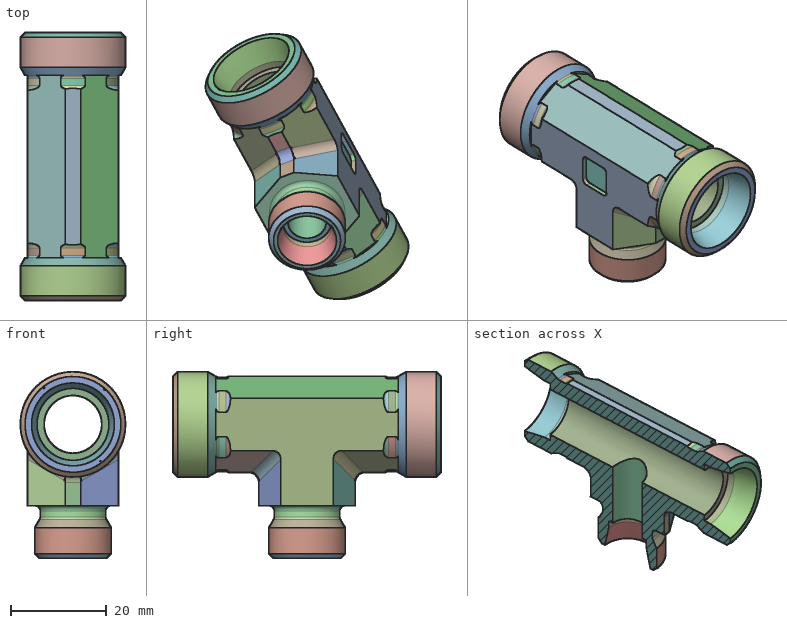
import cadquery as cq
import math

RUN_HALF_LENGTH = 28.0
BRANCH_LENGTH = 28.0

HEX_FLATS = 19.05
HEX_HALF_CUT = 10.1
BODY_CORNER_RADIUS = 2.0
BRANCH_BODY_END = 17.0
RUN_FLATS_END = 19.05

END_CHAMFER = 1.0
GROOVE_RADIUS = 1.0
RUNOUT_ANGLE = math.radians(30)

RUN_THREAD_DIA = 22.0
RUN_NECK_DIA = 19.7
RUN_THREAD_LENGTH = 7.3
RUN_STUD_LENGTH = 12.05
RUN_BORE_DIA = 12.0
RUN_TUBE_DIA = 15.0
RUN_MOUTH_DIA = 17.3

BRANCH_THREAD_DIA = 16.0
BRANCH_NECK_DIA = 13.7
BRANCH_THREAD_LENGTH = 6.45
BRANCH_STUD_LENGTH = BRANCH_LENGTH - BRANCH_BODY_END
BRANCH_BORE_DIA = 8.0
BRANCH_TUBE_DIA = 10.0
BRANCH_MOUTH_DIA = 12.3

SOCKET_DEPTH = 7.0
SOCKET_HALF_ANGLE = math.radians(12)

RECESS_SIZE = 7.05
RECESS_CORNER_RADIUS = 1.0
RECESS_DEPTH = 1.0
RECESS_CENTER_Z = -1.0

EDGE_TOLERANCE = 0.0005


def stud(thread_dia, neck_dia, thread_length, length):
    """Threaded end with its face at Z = 0, running up to the body shoulder at Z = length."""
    thread_r = thread_dia / 2
    neck_r = neck_dia / 2
    blend_r = neck_r + GROOVE_RADIUS * (1 - math.cos(RUNOUT_ANGLE))
    blend_start = thread_length + (thread_r - blend_r) / math.tan(RUNOUT_ANGLE)
    neck_start = blend_start + GROOVE_RADIUS * math.sin(RUNOUT_ANGLE)
    half_angle = RUNOUT_ANGLE / 2
    blend_middle = (
        neck_r + GROOVE_RADIUS * (1 - math.cos(half_angle)),
        neck_start - GROOVE_RADIUS * math.sin(half_angle),
    )
    neck_end = length - GROOVE_RADIUS
    flare_middle = (
        neck_r + GROOVE_RADIUS * (1 - math.sqrt(0.5)),
        neck_end + GROOVE_RADIUS * math.sqrt(0.5),
    )
    return (
        cq.Workplane("XZ")
        .lineTo(thread_r - END_CHAMFER, 0)
        .lineTo(thread_r, END_CHAMFER)
        .lineTo(thread_r, thread_length)
        .lineTo(blend_r, blend_start)
        .threePointArc(blend_middle, (neck_r, neck_start))
        .lineTo(neck_r, neck_end)
        .threePointArc(flare_middle, (neck_r + GROOVE_RADIUS, length))
        .lineTo(0, length)
        .close()
        .revolve(360, (0, 0), (0, 1))
    )


def bore(bore_dia, tube_dia, mouth_dia, depth):
    """Stepped bore opening at Z = 0: tapered mouth, tube seat, then a plain bore up to depth."""
    tube_r = tube_dia / 2
    taper_length = (mouth_dia / 2 - tube_r) / math.tan(SOCKET_HALF_ANGLE)
    return (
        cq.Workplane("XZ")
        .lineTo(mouth_dia / 2, 0)
        .lineTo(tube_r, taper_length)
        .lineTo(tube_r, SOCKET_DEPTH)
        .lineTo(bore_dia / 2, SOCKET_DEPTH)
        .lineTo(bore_dia / 2, depth)
        .lineTo(0, depth)
        .close()
        .revolve(360, (0, 0), (0, 1))
    )


def at_branch_end(shape):
    return shape.translate((0, 0, -BRANCH_LENGTH))


def at_run_ends(shape):
    front = shape.rotate((0, 0, 0), (1, 0, 0), -90).translate((0, -RUN_HALF_LENGTH, 0))
    return front.union(front.mirror("XZ"))


def hex_bar(length):
    """Hexagonal bar rising from Z = 0, flats facing +X and -X, corners on +Y and -Y cut flat."""
    corner_dia = HEX_FLATS / math.cos(math.radians(30))
    bar = cq.Workplane("XY").polygon(6, corner_dia).extrude(length)
    bar = bar.rotate((0, 0, 0), (0, 0, 1), 90)
    trim = cq.Workplane("XY").box(
        2 * corner_dia, 2 * HEX_HALF_CUT, length, centered=(True, True, False)
    )
    return bar.intersect(trim)


def run_bar(half_length):
    return hex_bar(2 * half_length).translate((0, 0, -half_length)).rotate((0, 0, 0), (1, 0, 0), 90)


def body():
    """Run and branch bars joined, with rounded inner corners between them."""
    run = run_bar(RUN_HALF_LENGTH - RUN_STUD_LENGTH)
    branch = hex_bar(BRANCH_BODY_END).translate((0, 0, -BRANCH_BODY_END))
    tee = run.union(branch)
    corner_edges = [
        edge
        for edge in tee.edges().vals()
        if all(abs(abs(v.Y) + v.Z) < EDGE_TOLERANCE for v in edge.Vertices())
    ]
    return tee.newObject(corner_edges).fillet(BODY_CORNER_RADIUS)


def run_studs():
    """Both run studs; the body flats continue across their grooves up to the thread runout."""
    studs = at_run_ends(stud(RUN_THREAD_DIA, RUN_NECK_DIA, RUN_THREAD_LENGTH, RUN_STUD_LENGTH))
    collar = cq.Workplane("XY").circle(RUN_THREAD_DIA).extrude(RUN_HALF_LENGTH - RUN_FLATS_END)
    return studs.intersect(at_run_ends(collar).union(run_bar(RUN_FLATS_END)))


def branch_stud():
    return at_branch_end(
        stud(BRANCH_THREAD_DIA, BRANCH_NECK_DIA, BRANCH_THREAD_LENGTH, BRANCH_STUD_LENGTH)
    )


def recess():
    return (
        cq.Workplane("XY")
        .box(2 * RECESS_DEPTH, RECESS_SIZE, RECESS_SIZE)
        .edges("|X")
        .fillet(RECESS_CORNER_RADIUS)
        .translate((-HEX_FLATS / 2, 0, RECESS_CENTER_Z))
    )


result = body().union(run_studs()).union(branch_stud())
run_bore = bore(RUN_BORE_DIA, RUN_TUBE_DIA, RUN_MOUTH_DIA, RUN_HALF_LENGTH)
result = result.cut(at_run_ends(run_bore))
branch_bore = bore(BRANCH_BORE_DIA, BRANCH_TUBE_DIA, BRANCH_MOUTH_DIA, BRANCH_LENGTH)
result = result.cut(at_branch_end(branch_bore))
result = result.cut(recess())